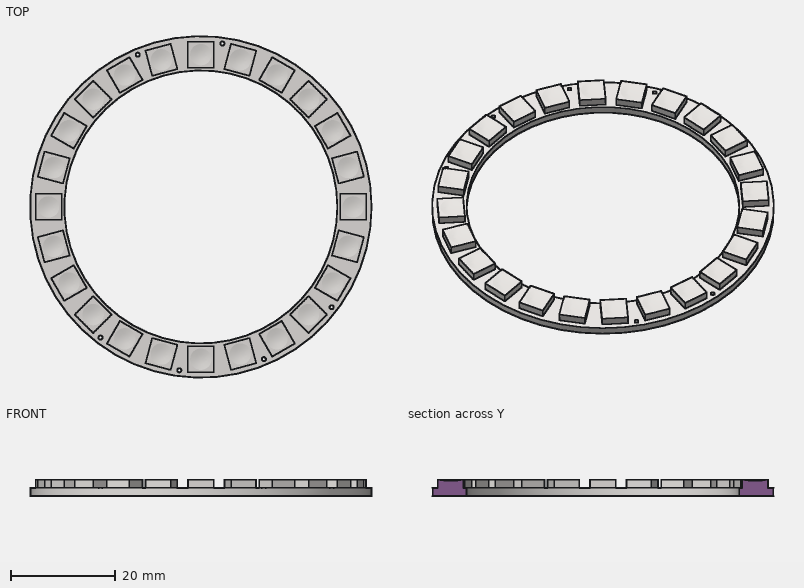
import cadquery as cq
import math

BOARD_OUTER_DIAMETER = 65.53
BOARD_INNER_DIAMETER = 52.3
BOARD_THICKNESS = 1.57

OVERALL_HEIGHT = 3.17
LED_COUNT = 24
LED_SIDE = 5.0
LED_HEIGHT = OVERALL_HEIGHT - BOARD_THICKNESS
LED_CIRCLE_RADIUS = 29.2
LED_PITCH_ANGLE = 360 / LED_COUNT

DISH_DIAMETER = 4.1
DISH_DEPTH = 0.2

HOLE_DIAMETER = 0.75
HOLE_CIRCLE_RADIUS = 31.6
HOLE_GAPS = (5, 7, 15, 17, 19, 21)


def polar_point(radius, angle):
    """Return the XY point at a radius and an angle in degrees from +X."""
    return (
        radius * math.cos(math.radians(angle)),
        radius * math.sin(math.radians(angle)),
    )


def make_board():
    """Flat ring standing on Z = 0."""
    return (
        cq.Workplane("XY")
        .circle(BOARD_OUTER_DIAMETER / 2)
        .circle(BOARD_INNER_DIAMETER / 2)
        .extrude(BOARD_THICKNESS)
    )


def make_hole_cutters():
    """Cylinders that pierce the board between LEDs."""
    points = [
        polar_point(HOLE_CIRCLE_RADIUS, (gap + 0.5) * LED_PITCH_ANGLE)
        for gap in HOLE_GAPS
    ]
    return (
        cq.Workplane("XY")
        .pushPoints(points)
        .circle(HOLE_DIAMETER / 2)
        .extrude(BOARD_THICKNESS)
    )


def make_led_body(angle):
    """Plain square LED body seated on the board at an angle."""
    return (
        cq.Workplane("XY")
        .rect(LED_SIDE, LED_SIDE)
        .extrude(LED_HEIGHT)
        .rotate((0, 0, 0), (0, 0, 1), angle)
        .translate((*polar_point(LED_CIRCLE_RADIUS, angle), BOARD_THICKNESS))
    )


def make_dish_cutter(angle):
    """Sphere that sinks a shallow dish into the top of the LED at an angle."""
    rim_radius = DISH_DIAMETER / 2
    sphere_radius = (rim_radius**2 + DISH_DEPTH**2) / (2 * DISH_DEPTH)
    sphere_height = OVERALL_HEIGHT - DISH_DEPTH + sphere_radius
    return (
        cq.Workplane("XY")
        .sphere(sphere_radius)
        .translate((*polar_point(LED_CIRCLE_RADIUS, angle), sphere_height))
    )


led_angles = [led_index * LED_PITCH_ANGLE for led_index in range(LED_COUNT)]

result = make_board().cut(make_hole_cutters())
for led_angle in led_angles:
    result = result.union(make_led_body(led_angle))
for led_angle in led_angles:
    result = result.cut(make_dish_cutter(led_angle))